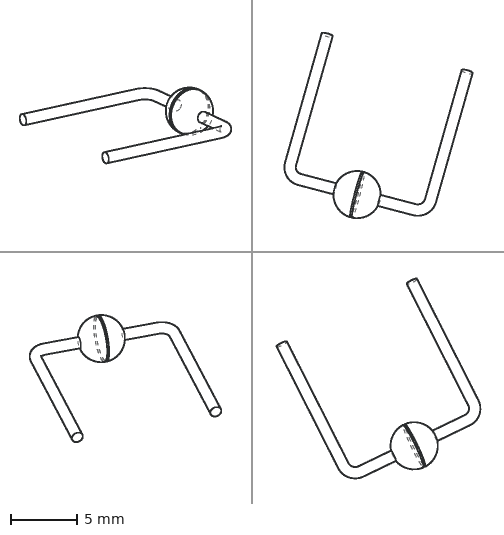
import cadquery as cq

total_length = 13.31
total_width = 11.85
bead_diameter = 3.6

wire_diameter = 0.88
bend_radius = 1.0

groove_width = 0.15
groove_depth = 0.07

bead_radius = bead_diameter / 2
wire_radius = wire_diameter / 2
leg_x = total_width / 2 - wire_radius
leg_end_y = bead_radius - total_length


def make_wire():
    """Round wire bent into a U, with its crossbar on the X axis."""
    crossbar_half = leg_x - bend_radius
    path = (
        cq.Workplane("XY")
        .moveTo(-leg_x, leg_end_y)
        .lineTo(-leg_x, -bend_radius)
        .tangentArcPoint((-crossbar_half, 0), relative=False)
        .lineTo(crossbar_half, 0)
        .tangentArcPoint((leg_x, -bend_radius), relative=False)
        .lineTo(leg_x, leg_end_y)
    )
    return cq.Workplane("XZ", origin=(-leg_x, leg_end_y, 0)).circle(wire_radius).sweep(path)


def make_bead():
    """Ball centred on the crossbar, with a shallow groove around its middle."""
    groove_half = groove_width / 2
    rim_radius = (bead_radius**2 - groove_half**2) ** 0.5
    groove_floor = bead_radius - groove_depth
    arc_x = bead_radius * 0.5**0.5
    profile = (
        cq.Workplane("XY")
        .moveTo(-bead_radius, 0)
        .threePointArc((-arc_x, arc_x), (-groove_half, rim_radius))
        .lineTo(-groove_half, groove_floor)
        .lineTo(groove_half, groove_floor)
        .lineTo(groove_half, rim_radius)
        .threePointArc((arc_x, arc_x), (bead_radius, 0))
        .close()
    )
    return profile.revolve(360, (0, 0, 0), (1, 0, 0))


result = make_wire().union(make_bead())